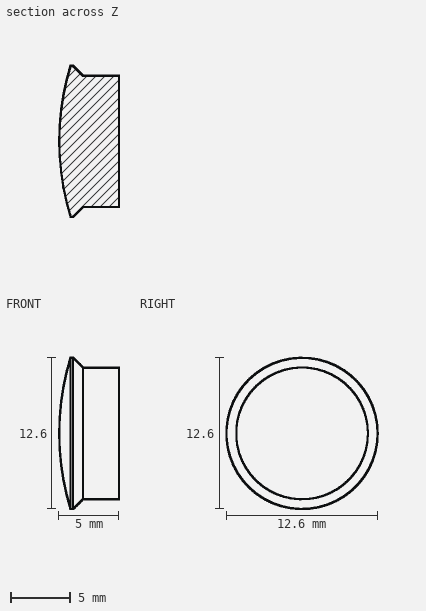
import cadquery as cq

rim_radius = 6.32
body_radius = 5.5
total_length = 5.0
dome_height = 0.95
rim_width = 0.23
body_length = 3.01

rim_back = dome_height + rim_width
body_front = total_length - body_length

dome_radius = (rim_radius**2 + dome_height**2) / (2 * dome_height)
mid_radius = rim_radius / 2
mid_depth = dome_radius - (dome_radius**2 - mid_radius**2) ** 0.5

profile = (
    cq.Workplane("XY")
    .moveTo(0, 0)
    .threePointArc((mid_depth, mid_radius), (dome_height, rim_radius))
    .lineTo(rim_back, rim_radius)
    .lineTo(body_front, body_radius)
    .lineTo(total_length, body_radius)
    .lineTo(total_length, 0)
    .close()
)

result = profile.revolve(360, (0, 0, 0), (1, 0, 0))